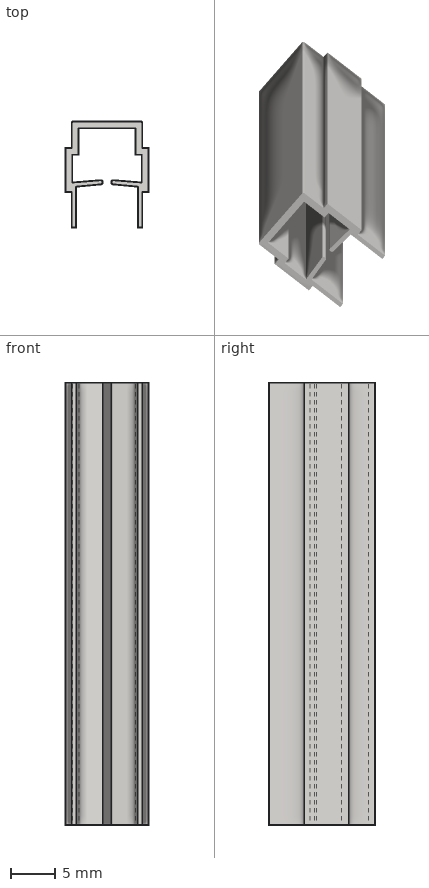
import cadquery as cq

LENGTH = 50.0
DEPTH = 12.0
BODY_WIDTH = 9.4

WALL = 0.8
NECK_HEIGHT = 3.0
BODY_HEIGHT = 5.0
SIDE_STEP = 0.7
LEG_THICKNESS = 0.5
LIP_THICKNESS = 0.5
LIP_OFFSET = 1.1
LIP_RISE = 0.28
LIP_GAP = 1.0
CORNER_RADIUS = 0.2
LIP_TIP_RADIUS = 0.2

body_half = BODY_WIDTH / 2
neck_half = body_half - SIDE_STEP
body_inner_half = body_half - WALL
neck_inner_half = neck_half - WALL
leg_inner_half = neck_half - LEG_THICKNESS
gap_half = LIP_GAP / 2

back_y = DEPTH / 2
front_y = -back_y
body_back_y = back_y - NECK_HEIGHT
body_front_y = body_back_y - BODY_HEIGHT
lip_back_y = body_front_y + LIP_OFFSET
lip_front_y = lip_back_y - LIP_THICKNESS
tip_back_y = lip_back_y + LIP_RISE
tip_front_y = lip_front_y + LIP_RISE


def half_section():
    """The +X half of the profile, extruded along Z, with sharp corners."""
    points = [
        (0, back_y),
        (neck_half, back_y),
        (neck_half, body_back_y),
        (body_half, body_back_y),
        (body_half, body_front_y),
        (neck_half, body_front_y),
        (neck_half, front_y),
        (leg_inner_half, front_y),
        (leg_inner_half, lip_front_y),
        (gap_half, tip_front_y),
        (gap_half, tip_back_y),
        (body_inner_half, lip_back_y),
        (body_inner_half, body_back_y - WALL),
        (neck_inner_half, body_back_y - WALL),
        (neck_inner_half, back_y - WALL),
        (0, back_y - WALL),
    ]
    outline = cq.Workplane("XY").polyline(points).close()
    return outline.extrude(LENGTH / 2, both=True)


def edge_at(x, y):
    """Selector for the lengthwise edge through (x, y)."""
    return cq.selectors.NearestToPointSelector((x, y, 0))


half = half_section()
half = half.edges(edge_at(neck_half, back_y)).fillet(CORNER_RADIUS)
for tip_y in (tip_front_y, tip_back_y):
    half = half.edges(edge_at(gap_half, tip_y)).fillet(LIP_TIP_RADIUS)

result = half.union(half.mirror("YZ")).clean()